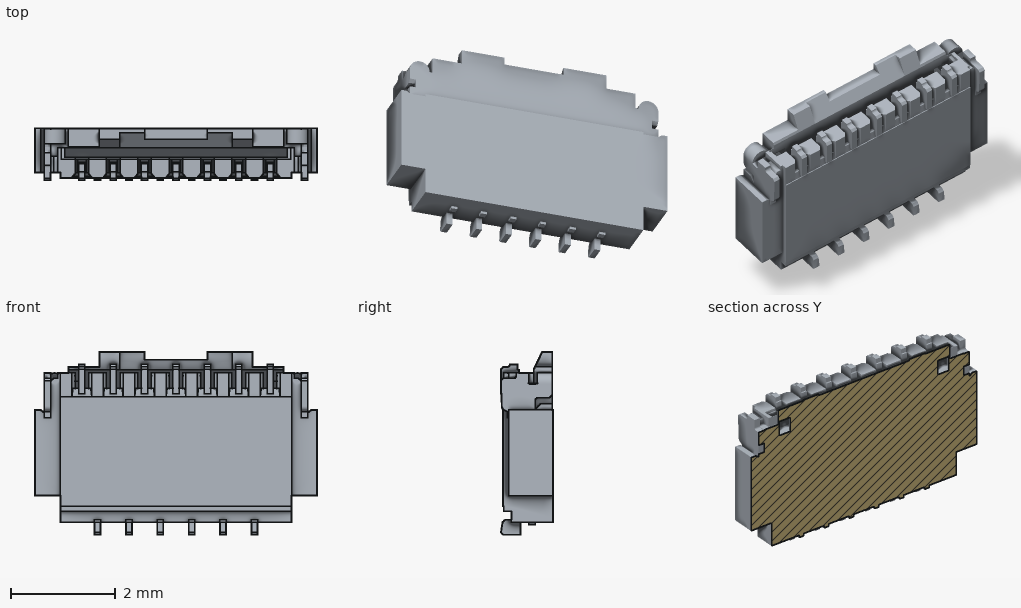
import cadquery as cq
import math


PITCH = 0.6
UPPER_COUNT = 7
LOWER_COUNT = UPPER_COUNT - 1
CONTACT_W = 0.12
TIP_FRONT = -1.0
TIP_CHAMFER = 0.045
STEP_R = 0.05
HEAD_TOP = 3.02
HEAD_BOTTOM = 2.46
HEAD_NECK_BACK = -0.68
HEAD_BACK = -0.65
HEAD_STEP_Y = -0.83
TAIL_BACK = -0.62
TAIL_BOTTOM = -0.24
TAIL_TOP = 0.05
TAIL_SHOULDER_FRONT = -0.97
TAIL_ROOT = -0.79
NUB_BACK = -0.34
NUB_FRONT = -0.47
NUB_BOTTOM = -0.05

CORE_W = 4.42
CORE_FRONT = -0.96
TEETH_FRONT = -0.945
HOUSING_TOP = 2.855
FOOT_FRONT = -0.80
FOOT_TOP = 0.21
LIP_FRONT = -0.945
LIP_TOP = 0.31

WING_W = 5.4
WING_FRONT = -0.85
WING_BOTTOM = 0.51
WING_TOP = 2.15
WING_BEVEL_X = 2.59
WING_BEVEL_DROP = 0.05

UPPER_BACK = -0.015

WALL_W = 4.12
WALL_FRONT = -0.375
WALL_SHOULDER = 2.97
WALL_SLOPE_BASE = 2.92
TAB_TOP = 3.26
TAB_FRONT = -0.21
TAB_OUTER_X = 1.466
TAB_STEP_X = 1.075
TAB_INNER_X = 0.6
LEAD_IN_FRONT = -0.085
NOTCH_FLOOR = 3.11
CORNER_RECESS_INNER_X = 1.77
CORNER_RECESS_OUTER_X = 2.02
CORNER_RECESS_TOP = 2.70
CORNER_RECESS_BACK = -0.145

SOCKET_W = 4.25
SOCKET_FRONT = -0.56
SOCKET_FLOOR = 2.40
MOUTH_W = 4.38
MOUTH_FRONT = -0.59
MOUTH_FLOOR = 2.80
SLOT_W = 0.26
SLOT_FLARE_W = 0.38
SLOT_FLARE_START = -0.87
SLOT_FLOOR_FRONT = -0.85
SILL_SLOPE_START = -0.92
SILL_TOP = 2.56
POCKET_FLOOR_W = 0.16

NAIL_OUTER_X = 2.52
NAIL_INNER_X = 2.395
BRIDGE_R = 0.2
BRIDGE_FRONT = -0.30
SHOULDER_TOP = HOUSING_TOP - BRIDGE_R
NAIL_RECESS_X = 2.26
NAIL_RECESS_BACK = -0.37
NAIL_RECESS_STEP = -0.54
NAIL_RECESS_FLOOR = 2.755
NAIL_RECESS_BEVEL = 0.055
NAIL_GAP_FRONT = -0.47
NAIL_DIP_BACK = -0.36
NAIL_DIP_FLOOR = 2.64
NAIL_DIP_R = 0.04
NAIL_STEP_Y = -0.705
NAIL_KNEE_Y = -0.985
NAIL_KNEE_Z = 2.22
NAIL_FOOT_Y = -0.88
NAIL_FOOT_TOP = 2.115
NAIL_KNEE_R = 0.08
NAIL_ANKLE_Y = -0.95
NAIL_ANKLE_Z = 2.155
NAIL_BOTTOM = 2.0
NAIL_NOTCH_TOP = 2.38
NAIL_NOTCH_CHAMFER = 0.035
NAIL_NOTCH_FLARE = 0.06
LEDGE_TOP = 2.27
LEDGE_FRONT = -0.345
LEDGE_CHAMFER = 0.11


def box(x0, x1, y0, y1, z0, z1):
    """Axis-aligned block between the given limits, in any order."""
    size = (abs(x1 - x0), abs(y1 - y0), abs(z1 - z0))
    middle = ((x0 + x1) / 2, (y0 + y1) / 2, (z0 + z1) / 2)
    return cq.Workplane("XY").box(*size).translate(middle)


def centred_box(width, y0, y1, z0, z1):
    """Block centred on X = 0."""
    return box(-width / 2, width / 2, y0, y1, z0, z1)


def plate(points, x0, x1):
    """Side profile of (Y, Z) points extruded from x0 to x1."""
    return cq.Workplane("YZ").polyline(points).close().extrude(x1 - x0).translate((x0, 0, 0))


def both_ends(shape):
    """The shape together with its mirror image about X = 0."""
    return shape.union(shape.mirror("YZ"))


def row_positions(count):
    """X positions of a centred row at the contact pitch."""
    return [(i - (count - 1) / 2) * PITCH for i in range(count)]


def step_arc(y, z):
    """Middle and end points of a hollow quarter round running forward and down from (y, z)."""
    inset = STEP_R * (1 - math.sqrt(0.5))
    return (y - inset, z - STEP_R + inset), (y - STEP_R, z - STEP_R)


def core():
    """Central housing body: stepped foot, cover face, set-back teeth and low rear shoulder."""
    profile = [
        (0, 0),
        (FOOT_FRONT, 0),
        (FOOT_FRONT, FOOT_TOP),
        (LIP_FRONT, FOOT_TOP),
        (LIP_FRONT, LIP_TOP),
        (CORE_FRONT, LIP_TOP),
        (CORE_FRONT, SOCKET_FLOOR),
        (TEETH_FRONT, SOCKET_FLOOR),
        (TEETH_FRONT, HOUSING_TOP),
        (WALL_FRONT, HOUSING_TOP),
        (WALL_FRONT, SHOULDER_TOP),
        (UPPER_BACK, SHOULDER_TOP),
        (UPPER_BACK, WING_TOP),
        (0, WING_TOP),
    ]
    return plate(profile, -CORE_W / 2, CORE_W / 2)


def wings():
    """Side wings, bevelled at the top beside each nail."""
    edge = WING_W / 2
    outline = [
        (0, WING_BOTTOM),
        (edge, WING_BOTTOM),
        (edge, WING_TOP),
        (WING_BEVEL_X, WING_TOP),
        (NAIL_OUTER_X, WING_TOP - WING_BEVEL_DROP),
        (0, WING_TOP - WING_BEVEL_DROP),
    ]
    return both_ends(cq.Workplane("XZ").polyline(outline).close().extrude(-WING_FRONT))


def shoulders():
    """Housing ends beside the socket, recessed at the front next to each nail."""
    front = box(0, NAIL_INNER_X, NAIL_RECESS_BACK, WING_FRONT, WING_BOTTOM, HOUSING_TOP)
    back = box(0, NAIL_INNER_X, UPPER_BACK, NAIL_RECESS_BACK, WING_BOTTOM, SHOULDER_TOP)
    recess_outline = [
        (NAIL_RECESS_X, HOUSING_TOP),
        (NAIL_RECESS_X, NAIL_RECESS_FLOOR),
        (NAIL_INNER_X - NAIL_RECESS_BEVEL, NAIL_RECESS_FLOOR),
        (NAIL_INNER_X, NAIL_RECESS_FLOOR - NAIL_RECESS_BEVEL),
        (NAIL_INNER_X, HOUSING_TOP),
    ]
    recess = (
        cq.Workplane("XZ", origin=(0, NAIL_RECESS_STEP, 0))
        .polyline(recess_outline)
        .close()
        .extrude(NAIL_RECESS_STEP - WING_FRONT)
    )
    rear_recess = box(
        NAIL_RECESS_X, NAIL_INNER_X,
        NAIL_RECESS_BACK, NAIL_RECESS_STEP,
        SHOULDER_TOP, HOUSING_TOP,
    )
    return both_ends(front.union(back).cut(recess).cut(rear_recess))


def back_wall():
    """Back wall with two guide tabs and sloped lead-in faces at their front."""
    profile = [
        (UPPER_BACK, SOCKET_FLOOR),
        (UPPER_BACK, TAB_TOP),
        (TAB_FRONT, TAB_TOP),
        (WALL_FRONT, WALL_SLOPE_BASE),
        (WALL_FRONT, SOCKET_FLOOR),
    ]
    wall = plate(profile, -WALL_W / 2, WALL_W / 2)
    beside_tab = box(TAB_OUTER_X, WALL_W / 2, UPPER_BACK, WALL_FRONT, WALL_SHOULDER, TAB_TOP)
    between_tabs = centred_box(2 * TAB_INNER_X, UPPER_BACK, WALL_FRONT, NOTCH_FLOOR, TAB_TOP)
    lead_in = plate(
        [(LEAD_IN_FRONT, TAB_TOP), (WALL_FRONT, TAB_TOP), (WALL_FRONT, WALL_SLOPE_BASE)],
        -TAB_STEP_X,
        TAB_STEP_X,
    )
    return wall.cut(both_ends(beside_tab)).cut(between_tabs).cut(lead_in)


def corner_recesses():
    """Recesses low in the front of the back wall, one near each end."""
    recess = box(
        CORNER_RECESS_INNER_X, CORNER_RECESS_OUTER_X,
        CORNER_RECESS_BACK, WALL_FRONT,
        SOCKET_FLOOR, CORNER_RECESS_TOP,
    )
    return both_ends(recess)


def socket():
    """Socket cavity with a slightly wider shallow mouth."""
    cavity = centred_box(SOCKET_W, WALL_FRONT, SOCKET_FRONT, SOCKET_FLOOR, HOUSING_TOP)
    mouth = centred_box(MOUTH_W, WALL_FRONT, MOUTH_FRONT, MOUTH_FLOOR, HOUSING_TOP)
    return cavity.union(mouth)


def contact_slot():
    """Slot open to the socket, flared at the front above a sloped sill, with a tapered pocket."""
    half = SLOT_W / 2
    half_flare = SLOT_FLARE_W / 2
    plan = [
        (-half, SOCKET_FRONT),
        (-half, SLOT_FLARE_START),
        (-half_flare, TEETH_FRONT),
        (half_flare, TEETH_FRONT),
        (half, SLOT_FLARE_START),
        (half, SOCKET_FRONT),
    ]
    opening = (
        cq.Workplane("XY", origin=(0, 0, SOCKET_FLOOR))
        .polyline(plan)
        .close()
        .extrude(HOUSING_TOP - SOCKET_FLOOR)
    )
    sill_profile = [
        (SOCKET_FRONT, SILL_TOP),
        (SILL_SLOPE_START, SILL_TOP),
        (TEETH_FRONT, SOCKET_FLOOR),
        (SOCKET_FRONT, SOCKET_FLOOR),
    ]
    sill = plate(sill_profile, -half_flare, half_flare)
    half_floor = POCKET_FLOOR_W / 2
    pocket_section = [
        (-half, SILL_TOP),
        (-half_floor, SOCKET_FLOOR),
        (half_floor, SOCKET_FLOOR),
        (half, SILL_TOP),
    ]
    pocket = (
        cq.Workplane("XZ", origin=(0, MOUTH_FRONT, 0))
        .polyline(pocket_section)
        .close()
        .extrude(MOUTH_FRONT - SLOT_FLOOR_FRONT)
    )
    return opening.cut(sill).union(pocket)


def contact_head():
    """Upright contact rising from the slot pocket and hooked over the sill, with a stepped top."""
    return (
        cq.Workplane("YZ", origin=(-CONTACT_W / 2, 0, 0))
        .moveTo(HEAD_BACK, SOCKET_FLOOR)
        .lineTo(HEAD_BACK, HEAD_TOP - 2 * STEP_R)
        .lineTo(HEAD_NECK_BACK, HEAD_TOP - 2 * STEP_R)
        .lineTo(HEAD_NECK_BACK, HEAD_TOP)
        .lineTo(HEAD_STEP_Y, HEAD_TOP)
        .threePointArc(*step_arc(HEAD_STEP_Y, HEAD_TOP))
        .lineTo(TIP_FRONT + TIP_CHAMFER, HEAD_TOP - STEP_R)
        .lineTo(TIP_FRONT, HEAD_TOP - STEP_R - TIP_CHAMFER)
        .lineTo(TIP_FRONT, HEAD_BOTTOM)
        .lineTo(SLOT_FLOOR_FRONT, HEAD_BOTTOM)
        .lineTo(SLOT_FLOOR_FRONT, SOCKET_FLOOR)
        .close()
        .extrude(CONTACT_W)
    )


def contact_tail():
    """Solder foot at the front plus the small nub behind it."""
    foot_profile = [
        (TAIL_BACK, FOOT_TOP),
        (TAIL_BACK, TAIL_BOTTOM),
        (TIP_FRONT + TIP_CHAMFER, TAIL_BOTTOM),
        (TIP_FRONT, TAIL_BOTTOM + TIP_CHAMFER),
        (TAIL_SHOULDER_FRONT, 0),
        (TAIL_SHOULDER_FRONT + TAIL_TOP, TAIL_TOP),
        (TAIL_ROOT, TAIL_TOP),
        (TAIL_ROOT, FOOT_TOP),
    ]
    half = CONTACT_W / 2
    nub = box(-half, half, NUB_BACK, NUB_FRONT, NUB_BOTTOM, FOOT_TOP)
    return plate(foot_profile, -half, half).union(nub)


def nails():
    """Side nails: a stepped upright blade with a half-round bridge at its rear."""
    blade = (
        cq.Workplane("YZ", origin=(NAIL_INNER_X, 0, 0))
        .moveTo(UPPER_BACK, SHOULDER_TOP)
        .lineTo(BRIDGE_FRONT, SHOULDER_TOP)
        .lineTo(NAIL_DIP_BACK, NAIL_DIP_FLOOR)
        .lineTo(NAIL_GAP_FRONT + NAIL_DIP_R, NAIL_DIP_FLOOR)
        .radiusArc((NAIL_GAP_FRONT, NAIL_DIP_FLOOR + NAIL_DIP_R), NAIL_DIP_R)
        .lineTo(NAIL_GAP_FRONT, HOUSING_TOP)
        .lineTo(NAIL_STEP_Y, HOUSING_TOP)
        .lineTo(NAIL_STEP_Y, NAIL_RECESS_FLOOR + STEP_R)
        .threePointArc(*step_arc(NAIL_STEP_Y, NAIL_RECESS_FLOOR + STEP_R))
        .lineTo(TIP_FRONT + TIP_CHAMFER, NAIL_RECESS_FLOOR)
        .lineTo(TIP_FRONT, NAIL_RECESS_FLOOR - TIP_CHAMFER)
        .lineTo(NAIL_KNEE_Y, NAIL_KNEE_Z)
        .radiusArc((NAIL_ANKLE_Y, NAIL_ANKLE_Z), -NAIL_KNEE_R)
        .lineTo(NAIL_FOOT_Y, NAIL_FOOT_TOP)
        .lineTo(NAIL_FOOT_Y, NAIL_BOTTOM)
        .lineTo(LEDGE_FRONT, NAIL_BOTTOM)
        .lineTo(LEDGE_FRONT, NAIL_NOTCH_TOP - NAIL_NOTCH_CHAMFER)
        .lineTo(LEDGE_FRONT + NAIL_NOTCH_CHAMFER, NAIL_NOTCH_TOP)
        .lineTo(UPPER_BACK - NAIL_NOTCH_FLARE, NAIL_NOTCH_TOP)
        .lineTo(UPPER_BACK, NAIL_NOTCH_TOP + NAIL_NOTCH_FLARE)
        .close()
        .extrude(NAIL_OUTER_X - NAIL_INNER_X)
    )
    bridge_x = NAIL_OUTER_X - BRIDGE_R
    bridge = (
        cq.Workplane("XZ", origin=(bridge_x, UPPER_BACK, SHOULDER_TOP))
        .moveTo(-BRIDGE_R, 0)
        .threePointArc((0, BRIDGE_R), (BRIDGE_R, 0))
        .close()
        .extrude(UPPER_BACK - BRIDGE_FRONT)
    )
    return both_ends(blade.union(bridge))


def nail_ledges():
    """Small ledge under the rear of each nail, bevelled at its front edge."""
    profile = [
        (UPPER_BACK, WING_BOTTOM),
        (UPPER_BACK, LEDGE_TOP),
        (LEDGE_FRONT + LEDGE_CHAMFER, LEDGE_TOP),
        (LEDGE_FRONT, LEDGE_TOP - LEDGE_CHAMFER),
        (LEDGE_FRONT, WING_BOTTOM),
    ]
    return both_ends(plate(profile, NAIL_INNER_X, NAIL_OUTER_X))


result = core().union(wings()).union(shoulders()).union(back_wall()).union(nail_ledges())
result = result.cut(socket()).cut(corner_recesses())
for x in row_positions(UPPER_COUNT):
    result = result.cut(contact_slot().translate((x, 0, 0)))
for x in row_positions(UPPER_COUNT):
    result = result.union(contact_head().translate((x, 0, 0)))
for x in row_positions(LOWER_COUNT):
    result = result.union(contact_tail().translate((x, 0, 0)))
result = result.union(nails())